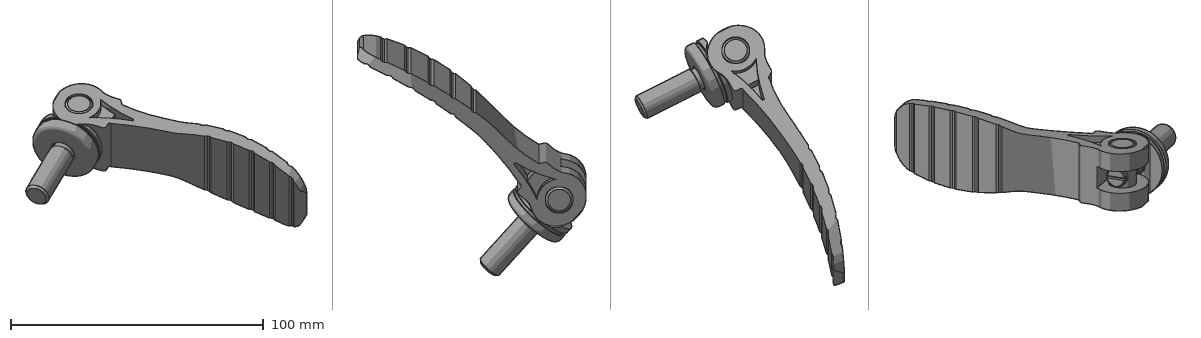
import cadquery as cq
import math


total_length = 113.5
disc_diameter = 27.1
tip_x = total_length - disc_diameter / 2
lever_height = 24.3
grip_height = 33.0
pin_diameter = 11.0

cam_offset_x = 0.3
cam_radius_x = 10.4
cam_radius_y = 11.6
cam_tip_cut_depth = 0.5
cam_tip_cut_height = 0.6

neck_start_x = 4.3
neck_flat_x = 10.5
neck_half_width = 8.6
neck_end_x = 15.0
neck_corner_radius = 1.1
arm_start_x = 16.0

slot_height = 9.2
slot_end_x = 7.0

lower_arc_center = (52.4, -128.9)
lower_arc_radius = 129.0
upper_arc_center = (48.3, -119.6)
upper_arc_radius = 126.2
hollow_arc_center = (26.9, 71.6)
hollow_arc_radius = 66.3

groove_width = 2.7
groove_floor_width = 0.8
groove_depth = 0.5
groove_count = 5
lower_groove_first_angle = 1.3
lower_groove_pitch = 4.4
upper_groove_first_angle = 0.9
upper_groove_pitch = 4.7

pocket_inner_radius = 8.6
pocket_half_width = 5.6
pocket_start_x = 6.8
pocket_tip_x = 23.3
pocket_tip_half_width = 0.5
pocket_shelf_x = 14.3
pocket_shelf_half_width = 2.6
pocket_shelf_depth = 2.7
pocket_depth = 9.1

pin_chamfer = 1.0

stud_shank_diameter = 8.0
stud_neck_diameter = 8.9
stud_thread_diameter = 10.0
stud_top_y = 6.9
stud_shoulder_y = -5.8
stud_thread_y = -18.2
stud_end_y = -42.9
stud_top_chamfer = 0.5
stud_end_chamfer = 0.9
driver_slot_width = 1.0
driver_slot_depth = 1.7

pad_top_y = -8.0
pad_rim_bottom_y = -10.9
pad_bottom_y = -12.1
pad_rim_chamfer = 0.3
pad_spigot_diameter = 25.4
pad_bore_diameter = 10.3
pad_recess_radius = 11.7
washer_bottom_y = -16.3
washer_bore_diameter = 10.2
washer_edge_radius = 1.9


def arc_point(center, radius, x, side=1):
    """Point at the given x on a circle, on its +Y side (1) or -Y side (-1)."""
    return (x, center[1] + side * math.sqrt(radius**2 - (x - center[0])**2))


def cylinder_along_y(diameter, top_y, bottom_y):
    return cq.Workplane("XZ", origin=(0, top_y, 0)).circle(diameter / 2).extrude(top_y - bottom_y)


def extrude_about_middle(profile, height):
    return profile.extrude(height).translate((0, 0, -height / 2))


def lower_point(x):
    return arc_point(lower_arc_center, lower_arc_radius, x)


def upper_point(x):
    return arc_point(upper_arc_center, upper_arc_radius, x)


def hollow_point(x):
    return arc_point(hollow_arc_center, hollow_arc_radius, x, side=-1)


def make_cam():
    cam = extrude_about_middle(
        cq.Workplane("XY").center(cam_offset_x, 0).ellipse(cam_radius_x, cam_radius_y), lever_height
    )
    cam_tip_x = cam_offset_x - cam_radius_x
    half_height = lever_height / 2
    bevel = (
        cq.Workplane("XZ")
        .polyline([
            (cam_tip_x, half_height - cam_tip_cut_height),
            (cam_tip_x, half_height),
            (cam_tip_x + cam_tip_cut_depth, half_height),
        ])
        .close()
        .extrude(cam_radius_y, both=True)
    )
    return cam.cut(bevel).cut(bevel.mirror("XY"))


def make_neck():
    """Block behind the cam, blended into it by hollow curves on both sides."""
    start_y = cam_radius_y * math.sqrt(1 - ((neck_start_x - cam_offset_x) / cam_radius_x) ** 2)
    curve_middle = (7.0, 9.3)
    upper_corner_middle = (14.4, 8.4)
    upper_corner_end = (14.8, 7.9)
    arm_blend_y = -5.9
    corner_center_y = neck_corner_radius - neck_half_width
    corner_center_x = neck_end_x - neck_corner_radius
    corner_reach = neck_corner_radius * math.sqrt(0.5)
    profile = (
        cq.Workplane("XY")
        .moveTo(neck_end_x, corner_center_y)
        .lineTo(neck_end_x, arm_blend_y)
        .tangentArcPoint(lower_point(arm_start_x), relative=False)
        .lineTo(*hollow_point(arm_start_x))
        .lineTo(*upper_corner_end)
        .threePointArc(upper_corner_middle, (corner_center_x, neck_half_width))
        .lineTo(neck_flat_x, neck_half_width)
        .threePointArc(curve_middle, (neck_start_x, start_y))
        .lineTo(neck_start_x, -start_y)
        .threePointArc((curve_middle[0], -curve_middle[1]), (neck_flat_x, -neck_half_width))
        .lineTo(corner_center_x, -neck_half_width)
        .threePointArc(
            (corner_center_x + corner_reach, corner_center_y - corner_reach),
            (neck_end_x, corner_center_y),
        )
        .close()
    )
    return extrude_about_middle(profile, lever_height)


def make_arm():
    """Curved arm: its side profile crossed with its waisted plan outline."""
    inflection_x = 34.3
    upper_end_x = 98.7
    lower_end_x = 97.7
    hollow_middle_x = 25.0
    upper_middle_x = 68.1
    lower_middle_x = 56.7
    tip_upper_round = (99.6, -4.3)
    tip_point = (tip_x, -5.1)
    tip_lower_point = (99.0, -7.3)
    tip_lower_round = (98.6, -7.8)
    side_profile = (
        cq.Workplane("XY")
        .moveTo(*hollow_point(arm_start_x))
        .threePointArc(hollow_point(hollow_middle_x), hollow_point(inflection_x))
        .threePointArc(upper_point(upper_middle_x), upper_point(upper_end_x))
        .threePointArc(tip_upper_round, tip_point)
        .lineTo(*tip_lower_point)
        .threePointArc(tip_lower_round, lower_point(lower_end_x))
        .threePointArc(lower_point(lower_middle_x), lower_point(arm_start_x))
        .close()
    )
    waist_half = lever_height / 2
    flare_start_x = 38.6
    flare_end = (45.0, 13.0)
    widest = (71.1, grip_height / 2)
    corner_start = (91.5, 14.4)
    corner_middle = (97.4, 10.9)
    corner_end = (100.2, 3.5)
    plan = (
        cq.Workplane("XZ")
        .moveTo(arm_start_x, 0)
        .lineTo(arm_start_x, waist_half)
        .lineTo(flare_start_x, waist_half)
        .tangentArcPoint(flare_end, relative=False)
        .threePointArc(widest, corner_start)
        .threePointArc(corner_middle, corner_end)
        .lineTo(corner_end[0], 0)
        .mirrorX()
        .extrude(cam_radius_y, both=True)
    )
    return extrude_about_middle(side_profile, grip_height).intersect(plan)


def make_grooves(center, radius, inward, first_angle, pitch):
    """Shallow grip grooves spread along an arc; inward is -1 to cut toward its centre, 1 to cut away."""
    floor_half = groove_floor_width / 2
    mouth = radius - inward * groove_depth / 2
    floor = radius + inward * groove_depth
    mouth_half = floor_half + 1.5 * (groove_width / 2 - floor_half)
    section = [(-mouth_half, mouth), (mouth_half, mouth), (floor_half, floor), (-floor_half, floor)]
    groove = extrude_about_middle(cq.Workplane("XY").polyline(section).close(), 2 * grip_height)
    return [
        groove.rotate((0, 0, 0), (0, 0, 1), -(first_angle + index * pitch)).translate((*center, 0))
        for index in range(groove_count)
    ]


def make_side_pocket():
    """Triangular pocket in the upper cheek, with a shallow shelf above the slot."""
    def pocket_block(depth):
        return (
            cq.Workplane("XY", origin=(0, 0, lever_height / 2 - depth))
            .moveTo(pocket_start_x, -pocket_half_width)
            .threePointArc((pocket_inner_radius, 0), (pocket_start_x, pocket_half_width))
            .threePointArc((pocket_shelf_x, pocket_shelf_half_width), (pocket_tip_x, pocket_tip_half_width))
            .lineTo(pocket_tip_x, -pocket_tip_half_width)
            .threePointArc((pocket_shelf_x, -pocket_shelf_half_width), (pocket_start_x, -pocket_half_width))
            .close()
            .extrude(depth)
        )

    deep_length = pocket_tip_x - pocket_shelf_x
    deep_part = pocket_block(pocket_depth).intersect(
        cq.Workplane("XY")
        .box(deep_length, neck_half_width, lever_height)
        .translate((pocket_shelf_x + deep_length / 2, 0, 0))
    )
    return pocket_block(pocket_shelf_depth).union(deep_part)


def make_lever():
    lever = make_cam().union(make_neck()).union(make_arm())
    slot_length = slot_end_x + cam_radius_x
    slot = (
        cq.Workplane("XY")
        .box(slot_length, 3 * cam_radius_y, slot_height)
        .translate((slot_end_x - slot_length / 2, 0, 0))
    )
    pin_hole = extrude_about_middle(cq.Workplane("XY").circle(pin_diameter / 2), lever_height)
    lever = lever.cut(slot).cut(pin_hole)
    side_pocket = make_side_pocket()
    lever = lever.cut(side_pocket).cut(side_pocket.mirror("XY"))
    lower_grooves = make_grooves(
        lower_arc_center, lower_arc_radius, 1, lower_groove_first_angle, lower_groove_pitch
    )
    upper_grooves = make_grooves(
        upper_arc_center, upper_arc_radius, -1, upper_groove_first_angle, upper_groove_pitch
    )
    for groove in lower_grooves + upper_grooves:
        lever = lever.cut(groove)
    return lever


def make_pin():
    """Cross pin through the fork, flush with the cheeks, bored for the stud."""
    pin = extrude_about_middle(cq.Workplane("XY").circle(pin_diameter / 2), lever_height)
    pin = pin.faces("|Z").chamfer(pin_chamfer)
    return pin.cut(cylinder_along_y(stud_shank_diameter, pin_diameter, -pin_diameter))


def make_stud():
    shank = cylinder_along_y(stud_shank_diameter, stud_top_y, stud_shoulder_y)
    shank = shank.faces(">Y").chamfer(stud_top_chamfer)
    neck = cylinder_along_y(stud_neck_diameter, stud_shoulder_y, stud_thread_y)
    thread = cylinder_along_y(stud_thread_diameter, stud_thread_y, stud_end_y)
    thread = thread.faces("<Y").chamfer(stud_end_chamfer)
    driver_slot = (
        cq.Workplane("XY")
        .box(stud_shank_diameter, driver_slot_depth, driver_slot_width)
        .translate((0, stud_top_y - driver_slot_depth / 2, 0))
    )
    return shank.union(neck).union(thread).cut(driver_slot)


def make_pressure_pad():
    """Disc with a hollow seat for the cam, relieved where the lever neck rests on it."""
    rim = cylinder_along_y(disc_diameter, pad_top_y, pad_rim_bottom_y)
    rim = rim.faces("<Y").chamfer(pad_rim_chamfer)
    spigot = cylinder_along_y(pad_spigot_diameter, pad_rim_bottom_y, pad_bottom_y)
    bore = cylinder_along_y(pad_bore_diameter, pad_top_y, pad_bottom_y)
    seat = extrude_about_middle(cq.Workplane("XY").circle(pad_recess_radius), 2 * disc_diameter)
    return rim.union(spigot).cut(bore).cut(seat).cut(make_neck())


def make_washer():
    washer = cylinder_along_y(disc_diameter, pad_bottom_y, washer_bottom_y)
    washer = washer.faces("<Y").edges().fillet(washer_edge_radius)
    return washer.cut(cylinder_along_y(washer_bore_diameter, pad_bottom_y, washer_bottom_y))


lever = make_lever()
pin = make_pin()
stud = make_stud()
pressure_pad = make_pressure_pad()
washer = make_washer()

result = cq.Compound.makeCompound(
    [body.solids().val() for body in (lever, pin, stud, pressure_pad, washer)]
)